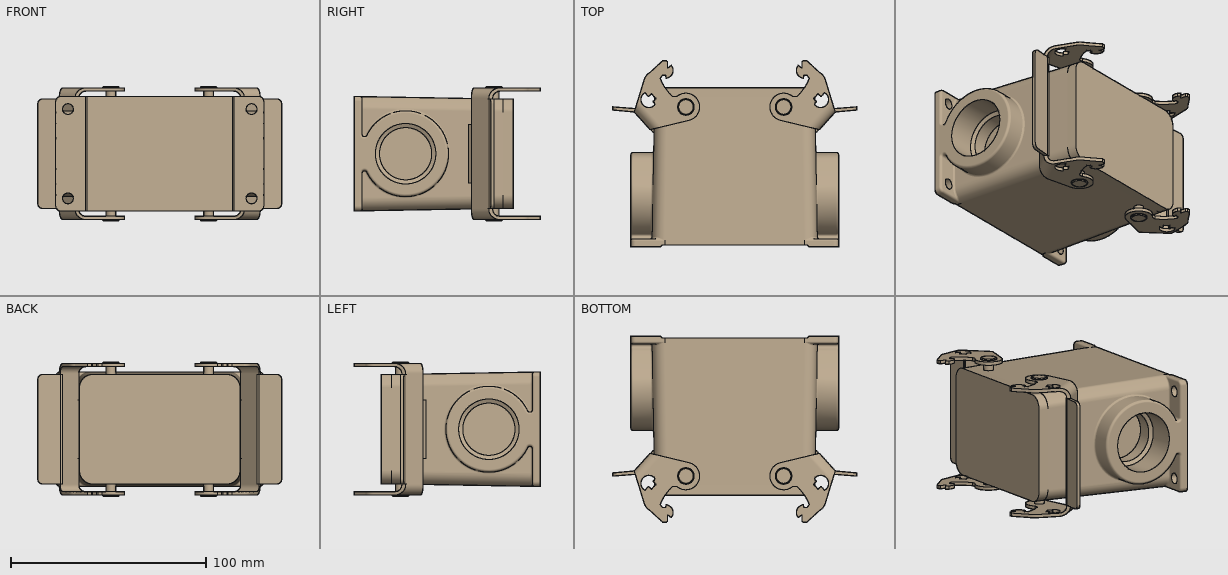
import cadquery as cq
import math

base_half_x = 42.4
base_half_z = 29.4
draft_height = 76.2
draft_angle = 1.0
cap_height = 5.2
corner_radius = 6.6
recess_depth = 0.9
recess_half_x = 38.0

flange_end_x = 53.2
flange_height = 4.1
flange_corner_radius = 2.5
flange_hole_diameter = 5.5
flange_hole_x = 47.0
flange_hole_z = 22.9
collar_y = 26.4
collar_radius = 22.0
neck_radius = 1.2
rim_radius = 1.2
root_radius = 0.9
entry_diameter = 31.0
entry_depth = 15.9
entry_cone_depth = 1.0
bore_diameter = 26.7
bore_depth = 25.0

pin_x = 25.0
pin_y = 71.6
pin_diameter = 5.1
head_diameter = 8.5
head_chamfer = 0.5
head_top_z = 34.5

sheet = 1.7
lever_half_z = 33.7
bend_radius = 5.2
eye_radius = 7.0
arm_angle = 13.5
web_angle = 48.0
web_top = (-51.5, 69.0)
web_length = 12.1
channel_length = 100.0
tab_length = 2.5
tab_half_z = 15.0
tab_inset = 0.2
tab_edge_radius = 0.7
handle_end_x = 62.5
handle_half_z = 28.1
handle_end_y = 70.0
handle_fold_radius = 1.2
handle_corner = 2.6
window_center = (-44.0, 75.3)
window_radius = 4.0
window_flat = 0.9
window_tab_start = -1.2
window_tab_width = 3.4
window_tab_top = 3.0

back_bend = ((-46.5, 85.3), (-45.4, 87.6), (-43.4, 89.3))
hook_tip = ((-36.9, 95.3), (-35.0, 95.3), (-34.4, 94.6))
hook_notch = ((-34.4, 91.5), (-32.5, 93.0), (-31.6, 91.5))
hook_nose_middle = (-32.1, 88.2)
hook_nose_end = (-35.2, 86.2)
hook_mouth = ((-35.4, 87.7), (-37.0, 87.7), (-38.1, 86.2))
throat_middle = (-35.7, 81.6)
throat_end = (-31.9, 77.0)
eye_start = (-29.6, 77.0)


def make_body():
    """Drafted block with rounded corners and an undrafted cap at its mating end."""
    shrink = draft_height * math.tan(math.radians(draft_angle))
    body = (
        cq.Workplane("ZX")
        .rect(2 * base_half_z, 2 * base_half_x)
        .extrude(draft_height, taper=draft_angle)
        .edges("not (|X or |Z)").fillet(corner_radius)
    )
    cap = (
        cq.Workplane("ZX", origin=(0, draft_height, 0))
        .rect(2 * (base_half_z - shrink), 2 * (base_half_x - shrink))
        .extrude(cap_height)
        .edges("|Y").fillet(corner_radius)
    )
    return body.union(cap)


def make_end_block():
    """Flange and collar of the -X end, joined by a neck with concave corners."""
    neck_y = flange_height + neck_radius
    reach = collar_radius + neck_radius
    neck_z = math.sqrt(reach**2 - (collar_y - neck_y) ** 2)
    tangent_y = collar_y - (collar_y - neck_y) * collar_radius / reach
    tangent_z = neck_z * collar_radius / reach
    block = (
        cq.Workplane("YZ", origin=(-flange_end_x, 0, 0))
        .moveTo(0, -base_half_z)
        .lineTo(0, base_half_z)
        .lineTo(flange_height, base_half_z)
        .lineTo(flange_height, neck_z)
        .threePointArc((neck_y, neck_z - neck_radius), (tangent_y, tangent_z))
        .threePointArc((collar_y + collar_radius, 0), (tangent_y, -tangent_z))
        .threePointArc((neck_y, neck_radius - neck_z), (flange_height, -neck_z))
        .lineTo(flange_height, -base_half_z)
        .close()
        .extrude(flange_end_x - base_half_x + corner_radius)
    )
    block = block.edges("<X and |Y").fillet(flange_corner_radius)
    return block.faces("<X").edges(">Y").fillet(rim_radius)


def web_plane():
    """Plane across the top of the web: local X runs inward from its outer face, local Y along Z."""
    web = math.radians(web_angle)
    return cq.Plane(
        origin=(web_top[0], web_top[1], 0),
        xDir=(math.sin(web), math.cos(web), 0),
        normal=(math.cos(web), -math.sin(web), 0),
    )


def make_trough(inset):
    """Long block with two rounded edges, its faces set inward from the outside of the bent sheet."""
    half_width = lever_half_z - inset
    radius = bend_radius - inset
    return (
        cq.Workplane(web_plane())
        .moveTo(inset, half_width - radius)
        .radiusArc((inset + radius, half_width), radius)
        .lineTo(channel_length, half_width)
        .lineTo(channel_length, -half_width)
        .lineTo(inset + radius, -half_width)
        .radiusArc((inset, radius - half_width), radius)
        .close()
        .extrude(channel_length, both=True)
    )


def make_lever_outline():
    """Side outline of the lever, with hook, pivot eye and web edge, as a solid of full lever width."""
    arm = math.radians(arm_angle)
    web = math.radians(web_angle)
    eye_tangent = (-pin_x + eye_radius * math.sin(arm), pin_y - eye_radius * math.cos(arm))
    web_bottom = (web_top[0] + web_length * math.cos(web), web_top[1] - web_length * math.sin(web))
    return (
        cq.Workplane("XY", origin=(0, 0, -lever_half_z))
        .moveTo(*web_top)
        .lineTo(*back_bend[0])
        .threePointArc(*back_bend[1:])
        .polyline([*hook_tip, *hook_notch], includeCurrent=True)
        .threePointArc(hook_nose_middle, hook_nose_end)
        .polyline(hook_mouth, includeCurrent=True)
        .threePointArc(throat_middle, throat_end)
        .lineTo(*eye_start)
        .threePointArc((-pin_x + eye_radius, pin_y), eye_tangent)
        .lineTo(*web_bottom)
        .close()
        .extrude(2 * lever_half_z)
    )


def make_window():
    """Cutter for the window: a disc with one flat side and a square tab on the flat."""
    plane = cq.Plane(origin=(*window_center, 0), xDir=web_plane().zDir, normal=(0, 0, 1))
    disc = cq.Workplane(plane).circle(window_radius).extrude(lever_half_z, both=True)
    kept = (
        cq.Workplane(plane)
        .center(0, window_flat - window_radius)
        .rect(2 * window_radius, 2 * window_radius)
        .extrude(lever_half_z, both=True)
    )
    tab = (
        cq.Workplane(plane)
        .center(window_tab_start + window_tab_width / 2, window_tab_top / 2)
        .rect(window_tab_width, window_tab_top)
        .extrude(lever_half_z, both=True)
    )
    return disc.intersect(kept).union(tab)


def make_handle():
    """Slightly tilted plate that stands out from the top of the web, with a rounded fold below it."""
    web = math.radians(web_angle)
    tilt = math.atan2(handle_end_y - web_top[1], handle_end_x + web_top[0])
    fold = handle_fold_radius * math.tan((web - tilt) / 2)
    fold_start = (web_top[0] - fold * math.cos(tilt), web_top[1] + fold * math.sin(tilt))
    fold_end = (web_top[0] + fold * math.cos(web), web_top[1] - fold * math.sin(web))
    handle = (
        cq.Workplane("XY", origin=(0, 0, -handle_half_z))
        .moveTo(-handle_end_x, handle_end_y)
        .lineTo(*fold_start)
        .tangentArcPoint(fold_end, relative=False)
        .lineTo(web_top[0] + sheet, web_top[1] + sheet)
        .lineTo(-handle_end_x, handle_end_y + sheet)
        .close()
        .extrude(2 * handle_half_z)
    )
    return handle.edges("<X and (not |Z)").fillet(handle_corner)


def make_lever():
    """Lever of the -X end: two hooked side plates, the web between them, a stop tab and a handle."""
    sheet_metal = make_lever_outline().intersect(make_trough(0).cut(make_trough(sheet)))
    tab = (
        cq.Workplane(web_plane())
        .center((tab_inset + sheet) / 2, 0)
        .rect(sheet - tab_inset, 2 * tab_half_z)
        .extrude(web_length + tab_length)
        .edges("|Z and <Y").fillet(tab_edge_radius)
    )
    return sheet_metal.cut(make_window()).union(tab).union(make_handle())


def make_pin():
    """Pivot pin through the whole housing with a chamfered head over each lever plate."""
    shaft = (
        cq.Workplane("XY", origin=(-pin_x, pin_y, 0))
        .circle(pin_diameter / 2)
        .extrude(lever_half_z, both=True)
    )
    head = (
        cq.Workplane("XY", origin=(-pin_x, pin_y, lever_half_z - sheet))
        .circle(head_diameter / 2)
        .extrude(head_top_z - lever_half_z + sheet)
        .faces(">Z").edges().chamfer(head_chamfer)
    )
    return shaft.union(head).union(head.mirror("XY"))


def make_recess():
    """Cutter for the shallow recess with sloping ends across the mounting face."""
    floor_half_x = recess_half_x - recess_depth
    return (
        cq.Workplane("XY", origin=(0, 0, -base_half_z))
        .polyline([
            (-recess_half_x, 0),
            (-floor_half_x, recess_depth),
            (floor_half_x, recess_depth),
            (recess_half_x, 0),
        ])
        .close()
        .extrude(2 * base_half_z)
    )


def make_end_holes():
    """Cutter for the stepped cable entry and the two screw holes of the -X end."""
    cone_end = entry_depth + entry_cone_depth
    holes = (
        cq.Workplane("XY", origin=(-flange_end_x, collar_y, 0))
        .polyline([
            (0, 0),
            (0, entry_diameter / 2),
            (entry_depth, entry_diameter / 2),
            (cone_end, bore_diameter / 2),
            (bore_depth, bore_diameter / 2),
            (bore_depth, 0),
        ])
        .close()
        .revolve(360, (0, 0, 0), (1, 0, 0))
    )
    screws = (
        cq.Workplane("ZX")
        .pushPoints([(flange_hole_z, -flange_hole_x), (-flange_hole_z, -flange_hole_x)])
        .circle(flange_hole_diameter / 2)
        .extrude(flange_height)
    )
    return holes.union(screws)


def round_collar_root(housing):
    """Concave fillet where the -X collar and flange meet the housing end wall."""
    root_zone = cq.selectors.BoxSelector(
        (-base_half_x, 0, -collar_radius),
        (corner_radius - base_half_x, collar_y + collar_radius, collar_radius),
        boundingbox=True,
    )
    collar_root = housing.edges(root_zone).edges(">Y")
    return collar_root.fillet(root_radius)


housing = round_collar_root(make_body().union(make_end_block()))
housing = housing.cut(make_end_holes()).cut(make_recess())
one_end_fitted = housing.union(make_pin()).union(make_lever())
half = one_end_fitted.copyWorkplane(cq.Workplane("YZ")).split(keepBottom=True)
result = half.union(half.mirror("YZ"))